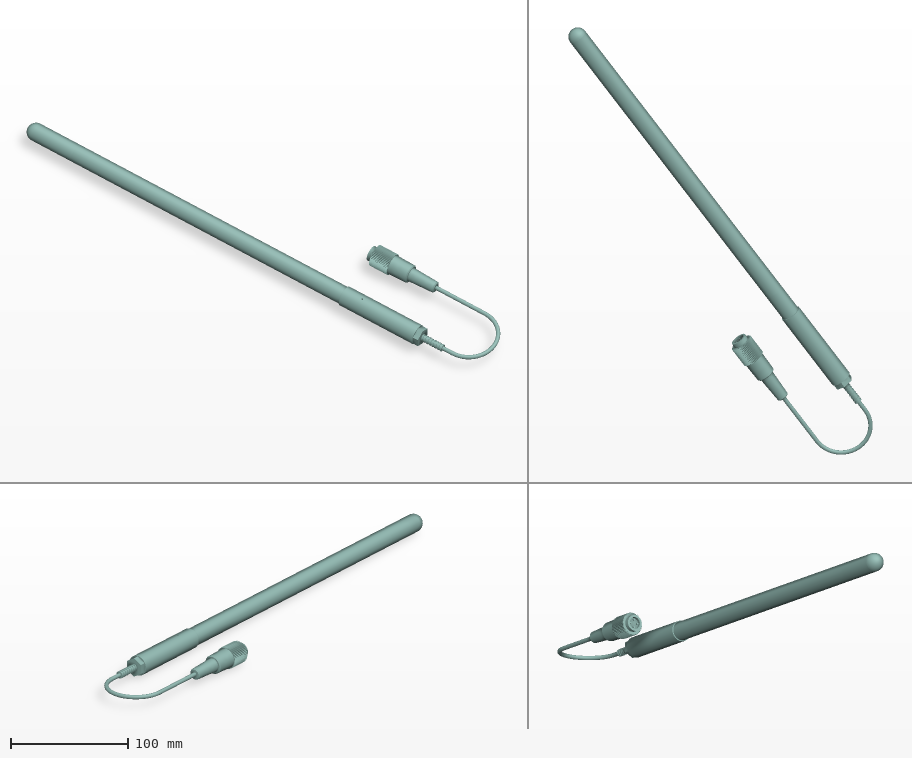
import cadquery as cq
import math

OVERALL_LENGTH = 461.0

PROBE_DIAMETER = 16.0
TIP_END = 49.0
TUBE_END = 299.0
COLLAR_END = 323.8

HANDLE_DIAMETER = 18.0
HANDLE_END = 398.5
HANDLE_HOLE_DIAMETER = 1.5
HANDLE_HOLE_DEPTH = 2.5
HANDLE_HOLE_X = 341.7

NUT_ACROSS_FLATS = 14.8
NUT_END = 403.5
RELIEF_END = 424.5
RELIEF_CORE_DIAMETER = 5.5
RELIEF_RIB_DIAMETER = 6.5
RELIEF_RIB_COUNT = 8

CABLE_DIAMETER = 3.5
AXIS_SPACING = 50.5

NOSE_START = 317.8
NOSE_DIAMETER = 14.0
SOCKET_DIAMETER = 10.0
SOCKET_DEPTH = 2.8
CONTACT_DIAMETER = 1.48
CONTACT_LENGTH = 2.0
CONTACT_CIRCLE_DIAMETER = 7.0
CONTACT_COUNT = 4
RING_START = 322.0
RING_END = 340.0
RING_DIAMETER = 20.0
GROOVE_COUNT = 48
GROOVE_DEPTH = 1.0
SHELL_FRONT_DIAMETER = 17.5
SHELL_BACK_DIAMETER = 16.5
SHELL_END = 359.0
SHELL_CHAMFER = 1.0
BOOT_FRONT_DIAMETER = 12.5
BOOT_BACK_DIAMETER = 10.0
BOOT_END = 384.0
BOOT_CHAMFER = 1.0

BEND_RADIUS = AXIS_SPACING / 2
BEND_X = OVERALL_LENGTH - CABLE_DIAMETER / 2 - BEND_RADIUS


def rod(start, end, diameter, y=0.0):
    """Round bar parallel to X from start to end."""
    return cq.Workplane("YZ", origin=(start, y, 0)).circle(diameter / 2).extrude(end - start)


def cone(start, end, start_diameter, end_diameter, y=0.0):
    """Tapered round bar parallel to X from start to end."""
    return (
        cq.Workplane("YZ", origin=(start, y, 0))
        .circle(start_diameter / 2)
        .workplane(offset=end - start)
        .circle(end_diameter / 2)
        .loft()
    )


def make_tip():
    """Front sleeve closed by a hemispherical nose."""
    radius = PROBE_DIAMETER / 2
    nose_offset = radius * math.sqrt(0.5)
    return (
        cq.Workplane("XY")
        .threePointArc((radius - nose_offset, nose_offset), (radius, radius))
        .lineTo(TIP_END, radius)
        .lineTo(TIP_END, 0)
        .close()
        .revolve(360, (0, 0, 0), (1, 0, 0))
    )


def make_handle():
    """Grip with a small blind hole from above."""
    hole_floor = HANDLE_DIAMETER / 2 - HANDLE_HOLE_DEPTH
    hole = (
        cq.Workplane("XY", origin=(HANDLE_HOLE_X, 0, hole_floor))
        .circle(HANDLE_HOLE_DIAMETER / 2)
        .extrude(HANDLE_DIAMETER)
    )
    return rod(COLLAR_END, HANDLE_END, HANDLE_DIAMETER).cut(hole)


def make_nut():
    """Hexagonal nut with corners on top and bottom and flats facing +Y and -Y."""
    across_corners = NUT_ACROSS_FLATS / math.cos(math.pi / 6)
    return (
        cq.Workplane("YZ", origin=(HANDLE_END, 0, 0))
        .transformed(rotate=(0, 0, 90))
        .polygon(6, across_corners)
        .extrude(NUT_END - HANDLE_END)
    )


def make_strain_relief():
    """Sleeve around the cable with evenly spaced ribs, each half a pitch wide, from end to end."""
    relief = rod(NUT_END, RELIEF_END, RELIEF_CORE_DIAMETER)
    pitch = (RELIEF_END - NUT_END) / (RELIEF_RIB_COUNT - 0.5)
    for index in range(RELIEF_RIB_COUNT):
        rib_start = NUT_END + index * pitch
        relief = relief.union(rod(rib_start, rib_start + pitch / 2, RELIEF_RIB_DIAMETER))
    return relief.cut(rod(NUT_END, RELIEF_END, CABLE_DIAMETER))


def make_cable():
    """Cable from the nut, around the half-circle bend, to the back of the connector shell."""
    path = (
        cq.Workplane("XY", origin=(NUT_END, 0, 0))
        .lineTo(BEND_X - NUT_END, 0)
        .threePointArc((BEND_X - NUT_END + BEND_RADIUS, BEND_RADIUS), (BEND_X - NUT_END, AXIS_SPACING))
        .lineTo(SHELL_END - NUT_END, AXIS_SPACING)
    )
    return cq.Workplane("YZ", origin=(NUT_END, 0, 0)).circle(CABLE_DIAMETER / 2).sweep(path)


def make_boot():
    """Tapered boot behind the connector shell, chamfered at the back and bored for the cable."""
    boot = cone(SHELL_END, BOOT_END, BOOT_FRONT_DIAMETER, BOOT_BACK_DIAMETER, AXIS_SPACING)
    boot = boot.faces(">X").chamfer(BOOT_CHAMFER)
    return boot.cut(rod(SHELL_END, BOOT_END, CABLE_DIAMETER, AXIS_SPACING))


def make_connector():
    """Chamfered connector shell with a socketed nose, and contact pins standing on the socket floor."""
    shell = cone(RING_END, SHELL_END, SHELL_FRONT_DIAMETER, SHELL_BACK_DIAMETER, AXIS_SPACING)
    shell = shell.faces(">X").chamfer(SHELL_CHAMFER)
    nose = rod(NOSE_START, RING_END, NOSE_DIAMETER, AXIS_SPACING)
    socket_floor = NOSE_START + SOCKET_DEPTH
    socket = rod(NOSE_START, socket_floor, SOCKET_DIAMETER, AXIS_SPACING)
    contacts = (
        cq.Workplane("YZ", origin=(socket_floor, AXIS_SPACING, 0))
        .polarArray(CONTACT_CIRCLE_DIAMETER / 2, 0, 360, CONTACT_COUNT)
        .circle(CONTACT_DIAMETER / 2)
        .extrude(-CONTACT_LENGTH)
    )
    return shell.union(nose).cut(socket).union(contacts)


def make_ring():
    """Coupling ring around the nose, knurled with straight V-grooves."""
    outer_radius = RING_DIAMETER / 2
    root_radius = outer_radius - GROOVE_DEPTH
    outline = []
    for index in range(2 * GROOVE_COUNT):
        radius = outer_radius if index % 2 == 0 else root_radius
        angle = index * math.pi / GROOVE_COUNT
        outline.append((radius * math.cos(angle), radius * math.sin(angle)))
    knurl = (
        cq.Workplane("YZ", origin=(RING_START, AXIS_SPACING, 0))
        .polyline(outline)
        .close()
        .extrude(RING_END - RING_START)
    )
    bore = rod(RING_START, RING_END, NOSE_DIAMETER, AXIS_SPACING)
    return knurl.cut(bore)


tip = make_tip()
tube = rod(TIP_END, TUBE_END, PROBE_DIAMETER)
collar = rod(TUBE_END, COLLAR_END, PROBE_DIAMETER)
handle = make_handle()
nut = make_nut()
strain_relief = make_strain_relief()
cable = make_cable()
boot = make_boot()
connector = make_connector()
ring = make_ring()

bodies = [tip, tube, collar, handle, nut, strain_relief, cable, boot, connector, ring]
result = cq.Compound.makeCompound([body.val() for body in bodies])